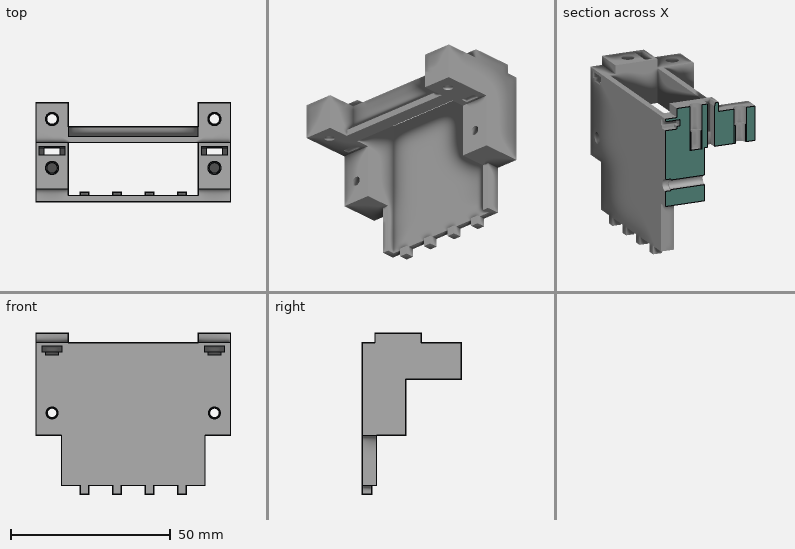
import cadquery as cq

PITCH = 5.08
WIDTH = 12 * PITCH
DEPTH = 31.0
HEIGHT = 50.5
CAVITY_WIDTH = 8 * PITCH
EAR_WIDTH = (WIDTH - CAVITY_WIDTH) / 2
EAR_CENTRE = (WIDTH - EAR_WIDTH) / 2

WALL = 2.0
PIN_LENGTH = 2.75
EAR_BOTTOM = 18.5
COLUMN_DEPTH = 13.7
ARM_BOTTOM = 36.0
DECK_TOP = HEIGHT - 3.0

BLOCK_FRONT = 4.0
BLOCK_BACK = 18.5

SKIRT_WIDTH = 45.0
SKIRT_RIB_DEPTH = 4.5

LEDGE_DEPTH = 3.0
LEDGE_HEIGHT = 2.0

SCREW_HOLE_DIA = 4.1
SLEEVE_BORE_DIA = 3.3
SLEEVE_LENGTH = 6.0
FRONT_SCREW_Y = 10.6
BACK_SCREW_Y = 25.9

CROSS_WIDE_DIA = 3.7
CROSS_NARROW_DIA = 3.0
CROSS_WIDE_DEPTH = 2.0
CROSS_Z = 25.5

SLOT_FRONT = 14.7
SLOT_BACK = 17.3
SLOT_WIDTH = 8.1
SLOT_NECK_WIDTH = 4.9
SLOT_FLOOR = 40.0
SLOT_LEAD_IN = 0.4
SLOT_LEAD_IN_HEIGHT = 1.2

POCKET_TOP = 46.5
POCKET_STEP = 44.6
POCKET_BOTTOM = 43.7
POCKET_WIDTH = 6.2
POCKET_LOWER_WIDTH = 4.1
POCKET_DEPTH = 5.0
POCKET_LOWER_DEPTH = 4.0

PIN_COUNT = 4
PIN_PITCH = 2 * PITCH
PIN_WIDTH = 2.75
PIN_DEPTH = 3.0


def block(x_centre, x_width, y_range, z_range):
    """Box centred on x_centre, spanning the given Y and Z ranges."""
    y_start, y_end = y_range
    z_start, z_end = z_range
    size = (x_width, y_end - y_start, z_end - z_start)
    corner = (x_centre - x_width / 2, y_start, z_start)
    return cq.Workplane("XY").box(*size, centered=False).translate(corner)


def vertical_hole(x, y, diameter, z_bottom, z_top):
    """Cylinder along Z."""
    return (cq.Workplane("XY", origin=(x, y, z_bottom))
            .circle(diameter / 2).extrude(z_top - z_bottom))


def cross_hole(x, diameter, length):
    """Cylinder along Y, starting at the front face."""
    return (cq.Workplane("XZ", origin=(x, 0, CROSS_Z))
            .circle(diameter / 2).extrude(-length))


def ear(x):
    """Column, rearward arm and raised block at one end of the housing."""
    column = block(x, EAR_WIDTH, (0, COLUMN_DEPTH), (EAR_BOTTOM, DECK_TOP))
    arm = block(x, EAR_WIDTH, (0, DEPTH), (ARM_BOTTOM, DECK_TOP))
    raised = block(x, EAR_WIDTH, (BLOCK_FRONT, BLOCK_BACK), (ARM_BOTTOM, HEIGHT))
    return column.union(arm).union(raised)


def screw_holes(x):
    """Blind hole in the raised block and through hole in the arm, ending level."""
    blind = vertical_hole(x, FRONT_SCREW_Y, SCREW_HOLE_DIA, ARM_BOTTOM, HEIGHT)
    through = vertical_hole(x, BACK_SCREW_Y, SCREW_HOLE_DIA, ARM_BOTTOM, DECK_TOP)
    return blind.union(through)


def stepped_cross_hole(x):
    """Counterbored hole through the ear column."""
    return (cross_hole(x, CROSS_NARROW_DIA, COLUMN_DEPTH)
            .union(cross_hole(x, CROSS_WIDE_DIA, CROSS_WIDE_DEPTH)))


def hook_slot(x):
    """Slot with a sloped rear lead-in and a narrower neck through the arm."""
    rear_wall = SLOT_BACK - SLOT_LEAD_IN
    mouth = (cq.Workplane("YZ", origin=(x - SLOT_WIDTH / 2, 0, 0))
             .moveTo(SLOT_FRONT, SLOT_FLOOR)
             .lineTo(rear_wall, SLOT_FLOOR)
             .lineTo(rear_wall, HEIGHT - SLOT_LEAD_IN_HEIGHT)
             .lineTo(SLOT_BACK, HEIGHT)
             .lineTo(SLOT_FRONT, HEIGHT)
             .close().extrude(SLOT_WIDTH))
    neck = block(x, SLOT_NECK_WIDTH, (SLOT_FRONT, rear_wall), (ARM_BOTTOM, HEIGHT - SLOT_LEAD_IN_HEIGHT))
    return mouth.union(neck)


def front_pocket(x):
    """Blind T-shaped pocket."""
    upper = block(x, POCKET_WIDTH, (0, POCKET_DEPTH), (POCKET_STEP, POCKET_TOP))
    lower = block(x, POCKET_LOWER_WIDTH, (0, POCKET_LOWER_DEPTH), (POCKET_BOTTOM, POCKET_TOP))
    return upper.union(lower)


def make_housing():
    """Two ears joined by the front and back walls, with pins along the bottom edge."""
    front_wall = block(0, CAVITY_WIDTH, (0, WALL), (PIN_LENGTH, DECK_TOP))
    back_wall = block(0, CAVITY_WIDTH, (BLOCK_BACK, BLOCK_BACK + WALL), (ARM_BOTTOM, DECK_TOP))
    ledge_start = BLOCK_BACK + WALL
    ledge = block(0, CAVITY_WIDTH, (ledge_start, ledge_start + LEDGE_DEPTH),
                  (ARM_BOTTOM, ARM_BOTTOM + LEDGE_HEIGHT))
    body = front_wall.union(back_wall).union(ledge)

    for i in range(PIN_COUNT):
        pin_x = (i - (PIN_COUNT - 1) / 2) * PIN_PITCH
        body = body.union(block(pin_x, PIN_WIDTH, (0, PIN_DEPTH), (0, PIN_LENGTH)))

    rib_width = (SKIRT_WIDTH - CAVITY_WIDTH) / 2
    for side in (-1, 1):
        x = side * EAR_CENTRE
        rib_x = side * (SKIRT_WIDTH - rib_width) / 2
        rib = block(rib_x, rib_width, (0, SKIRT_RIB_DEPTH), (PIN_LENGTH, EAR_BOTTOM))
        body = body.union(rib).union(ear(x))
        body = body.cut(screw_holes(x)).cut(stepped_cross_hole(x))
        body = body.cut(hook_slot(x)).cut(front_pocket(x))
    return body


def make_sleeve(x, y):
    """Plain sleeve filling the lower end of a screw hole."""
    sleeve_top = ARM_BOTTOM + SLEEVE_LENGTH
    outside = vertical_hole(x, y, SCREW_HOLE_DIA, ARM_BOTTOM, sleeve_top)
    return outside.cut(vertical_hole(x, y, SLEEVE_BORE_DIA, ARM_BOTTOM, sleeve_top))


housing = make_housing()
sleeves = [
    make_sleeve(side * EAR_CENTRE, y)
    for side in (-1, 1)
    for y in (FRONT_SCREW_Y, BACK_SCREW_Y)
]

result = cq.Compound.makeCompound([housing.val(), *[sleeve.val() for sleeve in sleeves]])